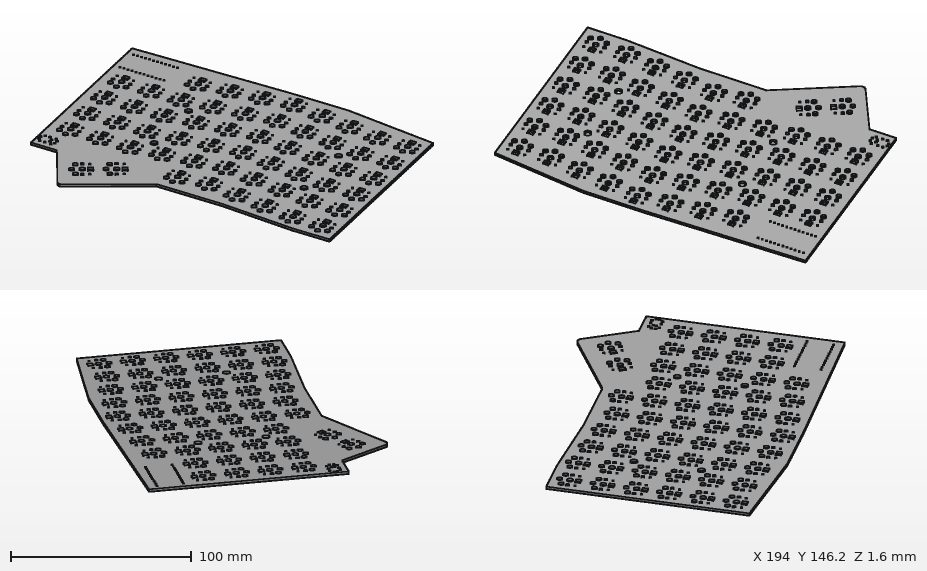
import cadquery as cq
import math

thickness = 1.6
width = 194.0
overall_depth = 146.17
cluster_drop = 30.15
peak_y = overall_depth - cluster_drop

left_height = 113.64
crest_start_x = 100.0
crest_end_x = 136.2
right_top_y = 109.36
right_bottom_y = -6.9
bottom_slope_start_x = 123.4
bottom_slope_end_x = 170.0
inner_bottom_y = -3.78

cluster_angle = 30.0
cluster_start_x = 16.45
cluster_corner_radius = 3.0

key_pitch = 19.05
stagger = key_pitch / 8
first_column_x = 12.165
lowest_top_row_y = 99.335
column_steps = [0, 0, 0, 1, 2, 3, 2, 1, 0, 0]
column_rows = [(1, 4), (1, 4), (0, 4), (0, 4)] + [(0, 5)] * 6

stem_diameter = 3.4
post_diameter = 1.8
post_x = 5.5
socket_diameter = 3.0
socket_x = 5.0
socket_side_y = -3.8
socket_middle_y = -5.9
pin_diameter = 1.0
pin_x = 5.22
pin_y = 4.2
led_width = 3.6
led_height = 3.05
led_y = 4.7

thumb_key_count = 2
thumb_key_x = 38.45
thumb_key_y = -10.25

mount_diameter = 4.1
mount_left_x = 59.6
mount_right_x = 155.1
mount_low_y = 33.2
mount_high_y = 71.85

header_diameter = 0.81
header_pitch = 2.54
header_pins = 12
header_row_gap = 15.24
header_x = 3.96
header_low_y = 93.03

jack_y = 7.1
jack_hole_diameter = 1.2
jack_contact_offset = 3.0
jack_contact_x = [3.37, 6.37, 10.37]
jack_end_contact_offset = 1.2
jack_end_contact_x = 11.87
jack_peg_offset = 0.9
jack_peg_x = [1.57, 8.57]


def plate():
    """Flat plate with the thumb cluster reaching down at the lower left."""
    rise = math.tan(math.radians(cluster_angle))
    off_diagonal = math.radians(45 - cluster_angle)
    corner_lift = cluster_corner_radius * (math.sqrt(2) * math.cos(off_diagonal) - 1)
    corner_y = -cluster_drop - corner_lift
    corner_x = cluster_start_x - corner_y * rise
    cluster_end_x = corner_x + (inner_bottom_y - corner_y) / rise
    outline = [
        (0, 0),
        (cluster_start_x, 0),
        (corner_x, corner_y),
        (cluster_end_x, inner_bottom_y),
        (bottom_slope_start_x, inner_bottom_y),
        (bottom_slope_end_x, right_bottom_y),
        (width, right_bottom_y),
        (width, right_top_y),
        (crest_end_x, peak_y),
        (crest_start_x, peak_y),
        (0, left_height),
    ]
    blank = cq.Workplane("XY").polyline(outline).close().extrude(thickness)
    corner_edge = cq.selectors.NearestToPointSelector((corner_x, corner_y, thickness / 2))
    return blank.edges(corner_edge).fillet(cluster_corner_radius)


def key_locations():
    """Centre and turn of every key."""
    locations = []
    for column, steps in enumerate(column_steps):
        x = first_column_x + column * key_pitch
        first_row, last_row = column_rows[column]
        for row in range(first_row, last_row + 1):
            y = lowest_top_row_y + steps * stagger - row * key_pitch
            locations.append(cq.Location(cq.Vector(x, y, 0)))
    turn = math.radians(cluster_angle)
    for step in range(thumb_key_count):
        x = thumb_key_x + step * key_pitch * math.cos(turn)
        y = thumb_key_y + step * key_pitch * math.sin(turn)
        locations.append(cq.Location(cq.Vector(x, y, 0), cq.Vector(0, 0, 1), cluster_angle - 90))
    return locations


def round_cutters(points, diameter):
    """Through-hole cylinders of one diameter at the given points."""
    return cq.Workplane("XY").pushPoints(points).circle(diameter / 2).extrude(thickness).vals()


def key_cutters():
    """Cutters of one key: switch stem, side posts, hot-swap sockets, pins and LED window."""
    sockets = [(-socket_x, socket_side_y), (socket_x, socket_side_y), (0, socket_middle_y)]
    cutters = round_cutters([(0, 0)], stem_diameter)
    cutters += round_cutters([(-post_x, 0), (post_x, 0)], post_diameter)
    cutters += round_cutters(sockets, socket_diameter)
    cutters += round_cutters([(-pin_x, pin_y), (pin_x, pin_y)], pin_diameter)
    cutters += cq.Workplane("XY").center(0, led_y).rect(led_width, led_height).extrude(thickness).vals()
    return cutters


def mount_cutters():
    """Four corners of the mounting hole rectangle."""
    points = [(x, y) for x in (mount_left_x, mount_right_x) for y in (mount_low_y, mount_high_y)]
    return round_cutters(points, mount_diameter)


def header_cutters():
    """Two parallel rows of controller pin holes."""
    rows = (header_low_y, header_low_y + header_row_gap)
    points = [(header_x + pin * header_pitch, y) for pin in range(header_pins) for y in rows]
    return round_cutters(points, header_diameter)


def jack_cutters():
    """Contact and peg holes, mirrored about the jack centre line."""
    holes = [(x, jack_contact_offset) for x in jack_contact_x]
    holes += [(x, jack_peg_offset) for x in jack_peg_x]
    holes.append((jack_end_contact_x, jack_end_contact_offset))
    points = [(x, jack_y + side * offset) for x, offset in holes for side in (-1, 1)]
    return round_cutters(points, jack_hole_diameter)


one_key = key_cutters()
cutters = [cutter.moved(location) for location in key_locations() for cutter in one_key]
cutters += mount_cutters() + header_cutters() + jack_cutters()

result = cq.Workplane("XY").newObject([plate().val().cut(*cutters)])